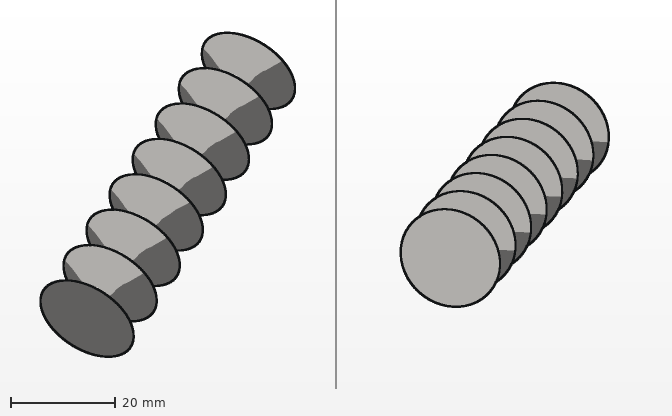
import cadquery as cq
import math

rim_radius = 10.0
pitch = 10.0
groove_count = 7
root_fillet_radius = 2.0

half_pitch = pitch / 2
flank_angle = math.atan2(rim_radius, half_pitch)
overall_length = groove_count * pitch

fillet_center_radius = root_fillet_radius / math.cos(flank_angle)
neck_radius = fillet_center_radius - root_fillet_radius
tangent_offset = root_fillet_radius * math.sin(flank_angle)
tangent_radius = tangent_offset * math.tan(flank_angle)


def add_groove(profile, groove_center):
    """Extend the profile from one sharp rim, through a rounded V, to the next rim."""
    return (
        profile.lineTo(groove_center - tangent_offset, tangent_radius)
        .threePointArc(
            (groove_center, neck_radius),
            (groove_center + tangent_offset, tangent_radius),
        )
        .lineTo(groove_center + half_pitch, rim_radius)
    )


def make_grooved_rod():
    """Revolve the half profile, drawn in the YZ plane, about the Y axis."""
    start = -overall_length / 2
    profile = cq.Workplane("YZ").moveTo(start, 0).lineTo(start, rim_radius)
    for index in range(groove_count):
        profile = add_groove(profile, start + half_pitch + index * pitch)
    profile = profile.lineTo(start + overall_length, 0).close()
    return profile.revolve(360, (0, 0, 0), (1, 0, 0))


result = make_grooved_rod()